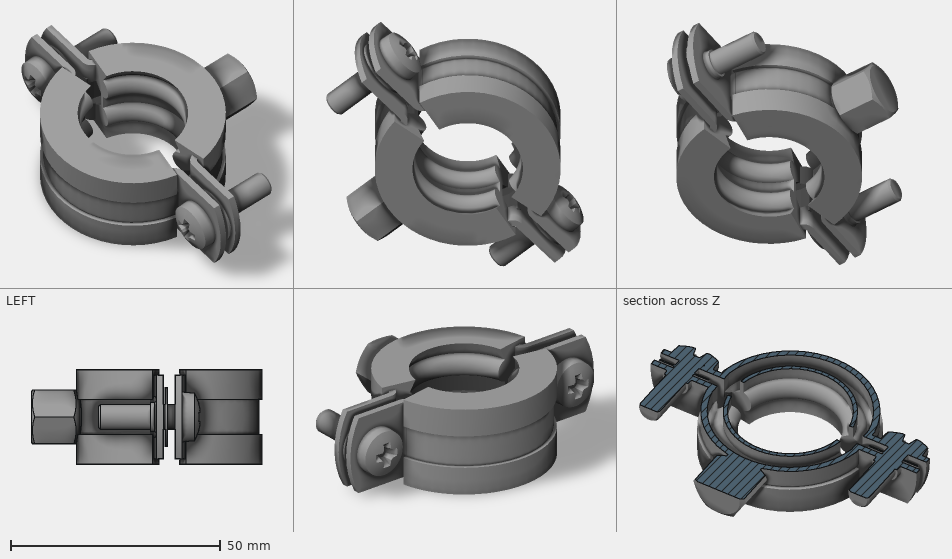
import cadquery as cq
import math


outer_radius = 22.2
ring_width = 22.7
half_width = ring_width / 2
end_angle = 10.5

lip_radius = 13.2
bead_radius = 12.5
wall_bore = 15.0
bead_far_z = 7.9
bead_near_z = 2.1
bead_mid_z = (bead_far_z + bead_near_z) / 2

sheet = 1.65
strip_radius = 21.5
strip_flat_z = 3.4
strip_edge = sheet
flange_z = 4.2
cavity_outer_radius = strip_radius - sheet
cavity_outer_z = strip_flat_z
cavity_side_radius = 18.4
cavity_side_z = 4.25
cavity_inner_radius = 16.1
cavity_inner_z = 2.4

ear_reach = 37.3
ear_half_width = 10.0
ear_corner_x = 34.8
ear_gap = 1.4
ear_back = ear_gap + sheet
bend_x = 21.1
bend_outer = 2.9
bend_inner = bend_outer - sheet
bend_y = ear_gap + bend_outer
strip_wall_x = bend_x - sheet

bolt_x = 29.3
shank_diameter = 6.0
shank_tip_diameter = 5.1
shank_top = 16.9
tip_length = 0.5
head_radius = 6.0
head_rim_radius = 5.75
head_rim_height = 2.9
head_height = 4.5
collar_diameter = 7.0
collar_length = 1.5
collar_foot_diameter = 7.45
collar_foot_length = 0.45
washer_diameter = 14.0
washer_thickness = 0.5
washer_y = 0.45

recess_depth = 2.6
recess_span = 7.15
recess_width = 2.25
recess_core_radius = 1.95
recess_floor_span = 2.7
recess_floor_width = 1.05

nut_flats = 12.9
nut_top = 33.0
nut_face_radius = 6.05
nut_foot_radius = 4.85
nut_foot_y = 21.3
nut_root_y = 20.6
nut_slope = math.tan(math.radians(30))


def strip_edge_point(crest, z):
    """Point on the rounded strip edge at height z, for a strip with its flat at crest."""
    offset = abs(z) - strip_flat_z
    return crest - strip_edge + math.sqrt(strip_edge ** 2 - offset ** 2), z


def half_ring():
    """Half ring on the +Y side, with the cavity that runs behind its centre strip."""
    edge_mid_z = (strip_flat_z + flange_z) / 2
    section = (
        cq.Workplane("XZ")
        .moveTo(outer_radius, half_width)
        .lineTo(lip_radius, half_width)
        .lineTo(wall_bore, bead_far_z)
        .threePointArc((bead_radius, bead_mid_z), (wall_bore, bead_near_z))
        .lineTo(wall_bore, -bead_near_z)
        .threePointArc((bead_radius, -bead_mid_z), (wall_bore, -bead_far_z))
        .lineTo(lip_radius, -half_width)
        .lineTo(outer_radius, -half_width)
        .lineTo(outer_radius, -flange_z)
        .lineTo(*strip_edge_point(strip_radius, -flange_z))
        .threePointArc(strip_edge_point(strip_radius, -edge_mid_z), (strip_radius, -strip_flat_z))
        .lineTo(strip_radius, strip_flat_z)
        .threePointArc(
            strip_edge_point(strip_radius, edge_mid_z), strip_edge_point(strip_radius, flange_z))
        .lineTo(outer_radius, flange_z)
        .close()
        .polyline([
            (cavity_outer_radius, cavity_outer_z),
            (cavity_side_radius, cavity_side_z),
            (cavity_inner_radius, cavity_inner_z),
            (cavity_inner_radius, -cavity_inner_z),
            (cavity_side_radius, -cavity_side_z),
            (cavity_outer_radius, -cavity_outer_z),
        ])
        .close()
    )
    ring = section.revolve(180 - 2 * end_angle, (0, 0, 0), (0, 1, 0))
    return ring.rotate((0, 0, 0), (0, 0, 1), end_angle)


def ear():
    """Ear at +X, +Y: plate bent into the band, with the raised strip carried down to it."""
    half_diagonal = math.cos(math.radians(45))
    outer_mid = bend_outer * half_diagonal
    inner_mid = bend_inner * half_diagonal
    plate = (
        cq.Workplane("XY", origin=(0, 0, -ear_half_width))
        .moveTo(bend_x - bend_outer, bend_y)
        .threePointArc((bend_x - outer_mid, bend_y - outer_mid), (bend_x, ear_gap))
        .lineTo(ear_reach, ear_gap)
        .lineTo(ear_reach, ear_back)
        .lineTo(bend_x, ear_back)
        .threePointArc((bend_x - inner_mid, bend_y - inner_mid), (bend_x - bend_inner, bend_y))
        .close()
        .extrude(2 * ear_half_width)
    )
    rounded_end = (
        cq.Workplane("XZ")
        .moveTo(0, -ear_half_width)
        .lineTo(ear_corner_x, -ear_half_width)
        .threePointArc((ear_reach, 0), (ear_corner_x, ear_half_width))
        .lineTo(0, ear_half_width)
        .close()
        .extrude(-bend_y)
    )
    edge_root_z = strip_flat_z + strip_edge
    edge_mid_z = strip_flat_z + strip_edge * half_diagonal
    strip = (
        cq.Workplane("XZ", origin=(0, ear_gap, 0))
        .moveTo(strip_wall_x, -edge_root_z)
        .threePointArc(strip_edge_point(bend_x, -edge_mid_z), (bend_x, -strip_flat_z))
        .lineTo(bend_x, strip_flat_z)
        .threePointArc(strip_edge_point(bend_x, edge_mid_z), (strip_wall_x, edge_root_z))
        .close()
        .extrude(ear_gap - bend_y)
    )
    channel = (
        cq.Workplane("XZ")
        .polyline([
            (bend_x - bend_outer, -cavity_side_z), (strip_wall_x, -cavity_outer_z),
            (strip_wall_x, cavity_outer_z), (bend_x - bend_outer, cavity_side_z),
        ])
        .close()
        .extrude(-bend_y)
    )
    return plate.intersect(rounded_end).union(strip).cut(channel)


def clamp_half():
    return half_ring().union(ear()).union(ear().mirror("YZ"))


def turned_y(points):
    """Solid of revolution about Y from (radius, y) points running along the axis."""
    start, end = points[0], points[-1]
    return (
        cq.Workplane("XY")
        .polyline([(0, start[1])] + points + [(0, end[1])])
        .close()
        .revolve(360, (0, 0, 0), (0, 1, 0))
    )


def recess_bar(angle):
    """One bar of the cross recess, narrowing from the head apex to the recess floor."""
    bar = (
        cq.Workplane("XZ", origin=(0, -ear_back - head_height, 0))
        .rect(recess_span, recess_width)
        .workplane(offset=-recess_depth)
        .rect(recess_floor_span, recess_floor_width)
        .loft()
    )
    return bar.rotate((0, 0, 0), (0, 1, 0), angle)


def bolt():
    """Bolt with head, cross recess, washer and collar, on the Y axis."""
    seat = -ear_back
    rim_y = seat - head_rim_height
    apex_y = seat - head_height
    dome_rise = head_height - head_rim_height
    dome_radius = (head_rim_radius ** 2 + dome_rise ** 2) / (2 * dome_rise)
    mid_angle = math.asin(head_rim_radius / dome_radius) / 2
    dome_mid = (dome_radius * math.sin(mid_angle), apex_y + dome_radius * (1 - math.cos(mid_angle)))
    head = (
        cq.Workplane("XY")
        .moveTo(0, seat)
        .lineTo(head_radius, seat)
        .lineTo(head_rim_radius, rim_y)
        .threePointArc(dome_mid, (0, apex_y))
        .close()
        .revolve(360, (0, 0, 0), (0, 1, 0))
    )
    for angle in (0, 90):
        head = head.cut(recess_bar(angle))
    core = turned_y([(recess_core_radius, apex_y), (recess_floor_span / 2, apex_y + recess_depth)])
    head = head.cut(core)

    shank_radius = shank_diameter / 2
    shank = turned_y([
        (shank_radius, seat), (shank_radius, shank_top - tip_length), (shank_tip_diameter / 2, shank_top)])
    washer = turned_y([
        (washer_diameter / 2, washer_y), (washer_diameter / 2, washer_y + washer_thickness)])
    collar = turned_y([
        (collar_foot_diameter / 2, ear_back),
        (collar_diameter / 2, ear_back + collar_foot_length),
        (collar_diameter / 2, ear_back + collar_length),
    ])
    return head.union(shank).union(washer).union(collar)


def nut():
    """Hexagonal nut with two flats facing Z and 30 degree chamfers at both ends."""
    corner_radius = nut_flats / math.sqrt(3)
    prism = (
        cq.Workplane("XZ", origin=(0, nut_root_y, 0))
        .polygon(6, 2 * corner_radius)
        .extrude(nut_root_y - nut_top)
    )
    envelope = turned_y([
        (nut_foot_radius, nut_root_y),
        (nut_foot_radius, nut_foot_y),
        (corner_radius, nut_foot_y + (corner_radius - nut_foot_radius) * nut_slope),
        (corner_radius, nut_top - (corner_radius - nut_face_radius) * nut_slope),
        (nut_face_radius, nut_top),
    ])
    return prism.intersect(envelope)


result = clamp_half().union(clamp_half().mirror("XZ")).union(nut())
for side in (-1, 1):
    result = result.union(bolt().translate((side * bolt_x, 0, 0)))